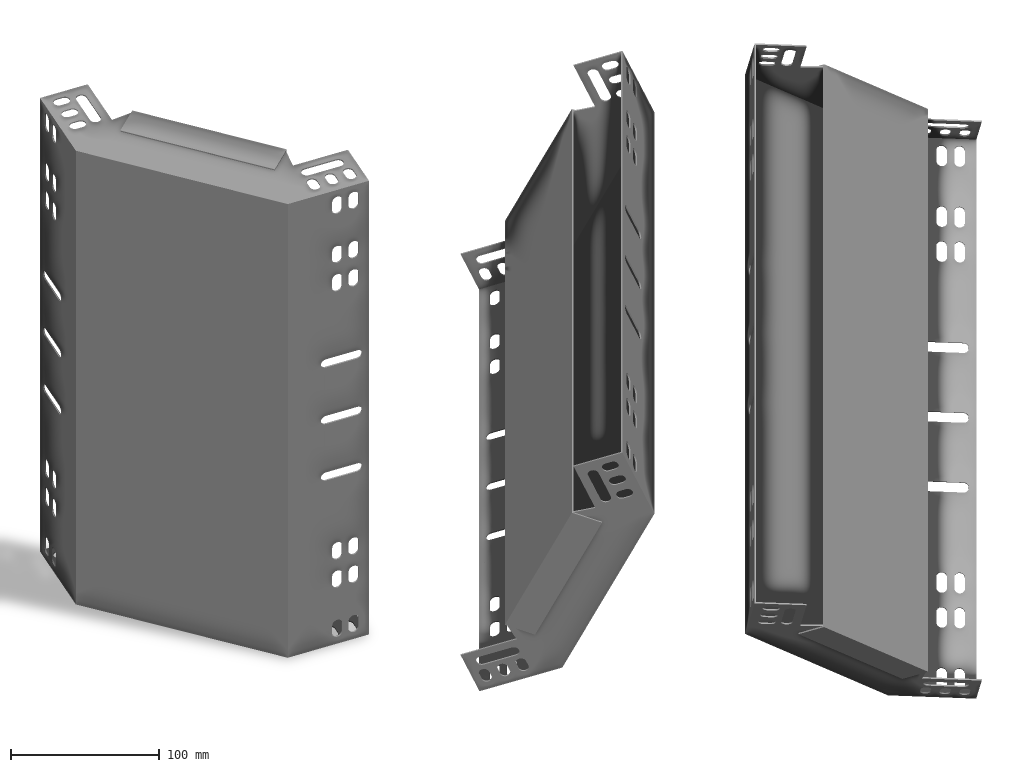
import cadquery as cq
import math

slope_angle = 45

total_height = 403.0
outer_width = 237.0
wall_length = 59.5
tab_depth = 35.0
tab_length = 40.5
tray_thickness = 1.0

cover_thickness = 1.0
cover_width = 111.3
cover_flange = 22.0
cover_inner_y = 50.5

slot_width = 7.3
wall_slot_length = 15.0
wall_slot_offsets = (11.3, 23.5)
wall_slot_heights = (118.5, 143.5, 187.0)
cross_slot_length = 30.2
cross_slot_offset = 20.0
cross_slot_pitch = 50.0
slot_cut_depth = 4.0

ear_slot_length = 11.5
ear_slot_count = 3
ear_slot_first = 9.0
ear_slot_pitch = 13.5
ear_slot_inset = 12.0
ear_long_slot_length = 30.5
ear_long_slot_width = 7.5
ear_long_slot_offset = 23.0
ear_long_slot_inset = 25.5

diagonal = math.sin(math.radians(slope_angle))
tray_height = total_height - 2 * cover_thickness
half_width = outer_width / 2
wall_rise = wall_length * diagonal
front_half_width = half_width - wall_rise
notch_x = half_width - (tab_length + tab_depth) * diagonal
notch_y = wall_rise + (tab_depth - tab_length) * diagonal
cover_outer_y = cover_inner_y + cover_thickness


def slope_point(offset, inset):
    """Point on the +X side: offset down the wall from its free edge, inset square to the wall."""
    return (half_width - (offset + inset) * diagonal, wall_rise + (inset - offset) * diagonal)


def both_sides(shape):
    """The shape together with its mirror image on the -X side."""
    return shape.union(shape.mirror("YZ"))


def make_channel():
    """Front plate and two slanted walls bent from one sheet."""
    outer = [(-front_half_width, 0), (front_half_width, 0), (half_width, wall_rise)]
    inner_corner = front_half_width - tray_thickness * math.tan(math.radians(slope_angle / 2))
    inner = [slope_point(0, tray_thickness), (inner_corner, tray_thickness)]
    outline = outer + inner + [(-x, y) for x, y in reversed(inner)] + [(-half_width, wall_rise)]
    return cq.Workplane("XY").polyline(outline).close().extrude(tray_height / 2, both=True)


def make_end_plate():
    """Flat end plate with a slotted ear on each side."""
    right = [
        (front_half_width, 0),
        (half_width, wall_rise),
        slope_point(0, tab_depth),
        (notch_x, notch_y),
        (cover_width / 2, cover_inner_y),
    ]
    outline = right + [(-x, y) for x, y in reversed(right)]
    base = cq.Workplane("XY", origin=(0, 0, tray_height / 2 - tray_thickness))
    return base.polyline(outline).close().extrude(tray_thickness)


def ear_slots():
    """Cutters through both end plates for the slots of the ears."""
    row = [slope_point(ear_slot_first + i * ear_slot_pitch, ear_slot_inset) for i in range(ear_slot_count)]
    base = cq.Workplane("XY", origin=(0, 0, -total_height / 2))
    short = base.pushPoints(row).slot2D(ear_slot_length, slot_width, 180 - slope_angle).extrude(total_height)
    long_place = [slope_point(ear_long_slot_offset, ear_long_slot_inset)]
    long = base.pushPoints(long_place).slot2D(ear_long_slot_length, ear_long_slot_width, slope_angle)
    long = long.extrude(total_height)
    return both_sides(short.union(long))


def wall_slots():
    """Cutters square to the walls for the upright and crosswise slots."""
    free_edge = (half_width, wall_rise, 0)
    down_slope = (-diagonal, -diagonal, 0)
    outward = (diagonal, -diagonal, 0)
    wall = cq.Workplane(cq.Plane(origin=free_edge, xDir=down_slope, normal=outward))
    upright_places = [(s, side * z) for s in wall_slot_offsets for z in wall_slot_heights for side in (-1, 1)]
    cross_places = [(cross_slot_offset, i * cross_slot_pitch) for i in (-1, 0, 1)]
    upright = wall.pushPoints(upright_places).slot2D(wall_slot_length, slot_width, 90)
    upright = upright.extrude(slot_cut_depth, both=True)
    cross = wall.pushPoints(cross_places).slot2D(cross_slot_length, slot_width).extrude(slot_cut_depth, both=True)
    return both_sides(upright.union(cross))


def make_tray():
    """Slotted sheet-metal tray with an end plate at each end."""
    end_plate = make_end_plate()
    body = make_channel().union(end_plate).union(end_plate.mirror("XY"))
    return body.cut(ear_slots()).cut(wall_slots())


def make_cover():
    """Channel-shaped cover closing the back and gripping both end plates."""
    flange_y = cover_outer_y - cover_flange
    back = cq.Workplane("XY").box(cover_width, cover_flange, total_height)
    back = back.translate((0, flange_y + cover_flange / 2, 0))
    opening = cq.Workplane("XY").box(cover_width, cover_flange, tray_height)
    return back.cut(opening.translate((0, cover_inner_y - cover_flange / 2, 0)))


tray = make_tray()
cover = make_cover()
result = cq.Compound.makeCompound([tray.val(), cover.val()])